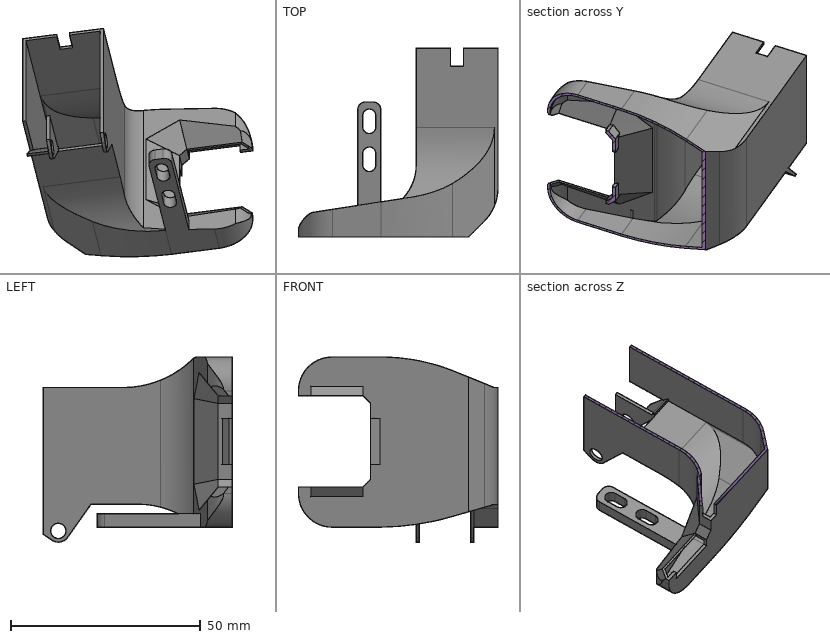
import cadquery as cq
import math

length = 52.8
depth = 50.0
height = 45.05
mid_z = 22.7
wall = 0.9
leg_lip = 0.65
floor_lip = 1.1
margin = 2.65

leg_radius = 9.0
slot_half = 12.05
slot_end = 19.05
slot_chamfer = 2.0
relief_start = 3.75
relief_depth = 6.85
flare_slope = 1.22
corner_drift = 0.2
bevel_start = 1.0
bevel_slope = 1.25
bevel_drift = 0.76

outlet_depth = 2.55
leg_outlet_start = 3.3
leg_outlet_end = slot_end - slot_chamfer
floor_outlet_half = 6.05

duct_left = 31.1
duct_top = 36.95
duct_bottom = 6.05
taper_start = 21.8
taper_straight = 40.75
taper_end = 51.8
top_drop = 3.6
bottom_rise = 2.85
nose_chamfer_x = 44.95
nose_radius = 12.45
floor_end = 37.35
inner_bend_y = 18.95
top_flare = (28.95, 9.9)
bottom_flare = (25.0, 9.15)

back_right = (27.55, 10.25)
back_left = (3.55, 6.55)
tip_middle = (1.05, 4.35)
tip_end = (0.0, 2.25)

notch_width = 3.4
notch_depth = 4.8

ear_radius = 3.0
ear_hole = 3.95
ear_y = 46.0
ear_z = -0.95
ear_back_z = -1.85
right_ear_x = 45.5
brace_bend = (38.4, 4.95)
brace_foot = 42.9

strap_x = 15.7
strap_width = 6.1
strap_start = 8.35
strap_end = 35.75
strap_height = 3.6
strap_radius = 2.0
strap_slot_length = 6.45
strap_slot_width = 3.4
strap_slot_y = (20.6, 30.6)


def plan_outline(mouth):
    """Outline seen along Z; mouth is the Y of the open duct end."""
    nose_y = length - nose_radius * (1 - math.sqrt(0.5)) - nose_chamfer_x
    nose_x = nose_chamfer_x + nose_y
    return (
        cq.Workplane("XY")
        .lineTo(nose_chamfer_x, 0)
        .lineTo(nose_x, nose_y)
        .tangentArcPoint((length, nose_y + nose_radius * math.sqrt(0.5)), relative=False)
        .lineTo(length, mouth)
        .lineTo(duct_left, mouth)
        .lineTo(duct_left, inner_bend_y)
        .tangentArcPoint(back_right, relative=False)
        .lineTo(*back_left)
        .threePointArc(tip_middle, tip_end)
        .close()
    )


def fork_outline():
    """Outline along Y: rounded legs at -X, tapering towards +X."""
    return (
        cq.Workplane("XZ")
        .moveTo(leg_radius, height)
        .lineTo(taper_start, height)
        .tangentArcPoint((taper_straight, height - top_drop), relative=False)
        .lineTo(taper_end, duct_top)
        .lineTo(length, duct_top)
        .lineTo(length, duct_bottom)
        .lineTo(taper_end, duct_bottom)
        .lineTo(taper_straight, bottom_rise)
        .tangentArcPoint((taper_start, 0), relative=False)
        .lineTo(leg_radius, 0)
        .tangentArcPoint((0, leg_radius), relative=False)
        .lineTo(0, height - leg_radius)
        .tangentArcPoint((leg_radius, height), relative=False)
        .close()
    )


def bottom_flare_middle():
    """Midpoint of the bottom flare arc, which is level where it leaves the duct."""
    run = bottom_flare[0] - bottom_flare[1]
    half_turn = math.atan(duct_bottom / run)
    radius = run / math.sin(2 * half_turn)
    return (
        bottom_flare[0] - radius * math.sin(half_turn),
        duct_bottom - radius * (1 - math.cos(half_turn)),
    )


def flare_outline(mouth):
    """Outline along X: full height at the front, flaring down to the duct."""
    return (
        cq.Workplane("YZ")
        .moveTo(0, height)
        .lineTo(0, 0)
        .lineTo(bottom_flare[1], 0)
        .threePointArc(bottom_flare_middle(), (bottom_flare[0], duct_bottom))
        .lineTo(mouth, duct_bottom)
        .lineTo(mouth, duct_top)
        .lineTo(top_flare[0], duct_top)
        .tangentArcPoint((top_flare[1], height), relative=False)
        .close()
    )


def envelope(inset, mouth):
    """Solid common to the three outlines, each moved inwards by inset."""
    def shrink(outline):
        return outline.offset2D(-inset) if inset else outline

    plan = shrink(plan_outline(mouth)).extrude(height)
    fork = shrink(fork_outline()).extrude(-mouth)
    flare = shrink(flare_outline(mouth)).extrude(length)
    return plan.intersect(fork).intersect(flare)


def slot(grow):
    """Straight part of the fork slot, enlarged by grow."""
    half = slot_half + grow
    end = slot_end + grow
    return (
        cq.Workplane("XZ")
        .center(0, mid_z)
        .polyline([
            (-margin, -half), (end - slot_chamfer, -half), (end, slot_chamfer - half),
            (end, half - slot_chamfer), (end - slot_chamfer, half), (-margin, half),
        ])
        .close()
        .extrude(-depth / 2)
    )


def relief_section(y, leg_run, floor_run):
    """Closed section of the slot flare at Y = y, the given runs behind its start."""
    half = slot_half + flare_slope * leg_run
    end = slot_end + flare_slope * floor_run
    corner_x = slot_end - slot_chamfer + corner_drift * leg_run
    corner_half = slot_half - slot_chamfer + corner_drift * leg_run
    points = [
        (-margin, -half), (corner_x, -half), (end, -corner_half),
        (end, corner_half), (corner_x, half), (-margin, half),
    ]
    return cq.Wire.makePolygon([cq.Vector(x, y, mid_z + z) for x, z in points], close=True)


def relief(leg_shift, floor_shift):
    """Flare behind the slot, moved forward by the given distances at the legs and the floor."""
    start = relief_start - leg_shift
    extra = floor_shift - leg_shift
    sections = [relief_section(start + run, run, run + extra) for run in (-extra, relief_depth)]
    return cq.Workplane(obj=cq.Solid.makeLoft(sections, True))


def tip_bevel(side, shift):
    """Slanted wedge that bevels the back corner of the upper (side 1) or lower (side -1) tip."""
    def section(away):
        front = bevel_start - shift + bevel_drift * away
        z = mid_z + side * (slot_half + away)
        points = [
            (-margin, front - bevel_slope * margin),
            (leg_radius, front + bevel_slope * leg_radius),
            (-margin, front + bevel_slope * leg_radius),
        ]
        return cq.Wire.makePolygon([cq.Vector(x, y, z) for x, y in points], close=True)

    return cq.Workplane(obj=cq.Solid.makeLoft([section(-margin), section(leg_radius)], True))


def cut_fork_back(solid, leg_shift, floor_shift):
    """Remove the slot flare and the tip bevels, moved forward by the given distances."""
    solid = solid.cut(relief(leg_shift, floor_shift))
    for side in (1, -1):
        solid = solid.cut(tip_bevel(side, floor_shift))
    return solid


def span_box(x_span, y_span, z_span):
    """Box given by its limits on each axis."""
    spans = (x_span, y_span, z_span)
    sizes = [high - low for low, high in spans]
    return cq.Workplane().box(*sizes, centered=False).translate([low for low, high in spans])


def around_middle(half):
    """Z limits that lie the distance half above and below the slot's middle plane."""
    return (mid_z - half, mid_z + half)


def hollow():
    """Air space: the inset hood, opened through the fork faces and the duct mouth."""
    space = cut_fork_back(envelope(wall, depth + 2 * wall), leg_lip, floor_lip)
    slits = space.intersect(span_box((0, leg_outlet_end), (0, depth), around_middle(slot_half + 2 * wall)))
    leg_outlets = span_box(
        (leg_outlet_start, leg_outlet_end), (0, wall), around_middle(slot_half + outlet_depth)
    )
    floor_outlet_end = slot_end + outlet_depth
    floor_gap = space.intersect(
        span_box((slot_end, floor_outlet_end), (0, depth), around_middle(floor_outlet_half))
    )
    floor_outlet = span_box((slot_end, floor_outlet_end), (0, wall), around_middle(floor_outlet_half))
    fan_opening = span_box(
        (duct_left + wall, length - wall), (floor_end, depth), (duct_bottom, duct_bottom + 2 * wall)
    )
    space = space.cut(slot(wall))
    for opening in (slits, leg_outlets, floor_gap, floor_outlet, fan_opening):
        space = space.union(opening)
    return space


def notch():
    """Slot in the top wall at the duct mouth."""
    middle = (duct_left + length) / 2
    half = notch_width / 2
    return span_box((middle - half, middle + half), (depth - notch_depth, depth), (mid_z, height))


def tangent_point(point, turn):
    """Where the line from point touches the ear circle; turn (+1 or -1) picks the side."""
    dy = point[0] - ear_y
    dz = point[1] - ear_z
    angle = math.atan2(dz, dy) + turn * math.acos(ear_radius / math.hypot(dy, dz))
    return (ear_y + ear_radius * math.cos(angle), ear_z + ear_radius * math.sin(angle))


def ear(x):
    """Plate with a fan screw hole, hanging from the duct with its left face at x."""
    front = (floor_end, duct_bottom)
    back = (depth, ear_back_z)
    top = duct_bottom + wall
    return (
        cq.Workplane("YZ", origin=(x, 0, 0))
        .moveTo(floor_end, top)
        .lineTo(*front)
        .lineTo(*tangent_point(front, 1))
        .threePointArc((ear_y, ear_z - ear_radius), tangent_point(back, -1))
        .lineTo(*back)
        .lineTo(depth, top)
        .close()
        .extrude(wall)
        .cut(cq.Workplane("YZ", origin=(x, ear_y, ear_z)).circle(ear_hole / 2).extrude(wall))
    )


def brace():
    """Bent plate that joins the right ear to the outer duct wall."""
    return (
        cq.Workplane("YZ", origin=(right_ear_x, 0, 0))
        .moveTo(floor_end, duct_bottom)
        .lineTo(*brace_bend)
        .lineTo(brace_foot, 0)
        .lineTo(brace_foot + wall, 0)
        .lineTo(brace_bend[0], brace_bend[1] + 2 * wall)
        .lineTo(floor_end, duct_bottom + 2 * wall)
        .close()
        .extrude(length - right_ear_x)
    )


def strap():
    """Bar with a rounded end and two slots, reaching back from the lower leg."""
    middle = strap_x + strap_width / 2
    plate = (
        span_box((strap_x, strap_x + strap_width), (strap_start, strap_end), (0, strap_height))
        .edges("|Z and >Y")
        .fillet(strap_radius)
    )
    slots = (
        cq.Workplane()
        .pushPoints([(middle, y) for y in strap_slot_y])
        .slot2D(strap_slot_length, strap_slot_width, 90)
        .extrude(strap_height)
    )
    return plate.cut(slots)


hood = cut_fork_back(envelope(0, depth).cut(slot(0)), 0, 0).cut(hollow()).cut(notch())
result = hood.union(strap()).union(brace())
for ear_x in (duct_left, right_ear_x):
    result = result.union(ear(ear_x))